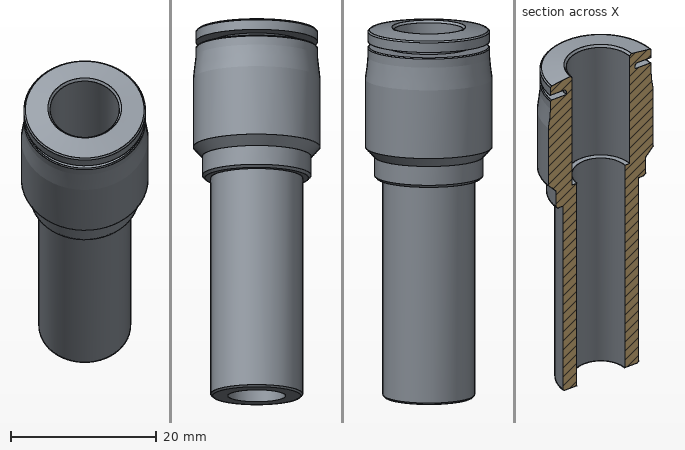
import cadquery as cq

body_dia = 17.5
rim_dia = 16.8
collar_dia = 15.0
stem_dia = 12.7
neck_dia = 11.5
socket_dia = 9.55
bore_dia = 8.0

total_height = 51.8
flange_crown_z = 51.4
flange_bottom_z = 49.85
neck_top_z = 49.55
body_top_z = 49.05
body_taper_z = 47.65
body_straight_top_z = 44.55
body_straight_bottom_z = 35.0
collar_top_z = 33.65
collar_bottom_z = 30.65
socket_floor_z = collar_top_z

flange_chamfer = 0.2
neck_flare = 0.2
body_top_chamfer = 0.15
collar_chamfer = 0.35
stem_chamfer = 0.25
socket_chamfer = 0.3


def revolve_profile(points):
    """Turn an outline of (radius, height) points around the Z axis."""
    outline = cq.Workplane("XZ").polyline(points).close()
    return outline.revolve(360, (0, 0, 0), (0, 1, 0))


stem_r = stem_dia / 2
collar_r = collar_dia / 2
body_r = body_dia / 2
rim_r = rim_dia / 2
neck_r = neck_dia / 2
socket_r = socket_dia / 2
bore_r = bore_dia / 2
socket_mouth_r = socket_r + socket_chamfer

result = revolve_profile([
    (bore_r, 0),
    (stem_r - stem_chamfer, 0),
    (stem_r, stem_chamfer),
    (stem_r, collar_bottom_z),
    (collar_r - collar_chamfer, collar_bottom_z),
    (collar_r, collar_bottom_z + collar_chamfer),
    (collar_r, collar_top_z),
    (body_r, body_straight_bottom_z),
    (body_r, body_straight_top_z),
    (rim_r, body_taper_z),
    (rim_r, body_top_z - body_top_chamfer),
    (rim_r - body_top_chamfer, body_top_z),
    (neck_r, body_top_z),
    (neck_r, neck_top_z),
    (neck_r + neck_flare, flange_bottom_z),
    (rim_r, flange_bottom_z),
    (rim_r, flange_crown_z - flange_chamfer),
    (rim_r - flange_chamfer, flange_crown_z),
    (socket_mouth_r, total_height),
    (socket_r, total_height - socket_chamfer),
    (socket_r, socket_floor_z),
    (bore_r, socket_floor_z),
])